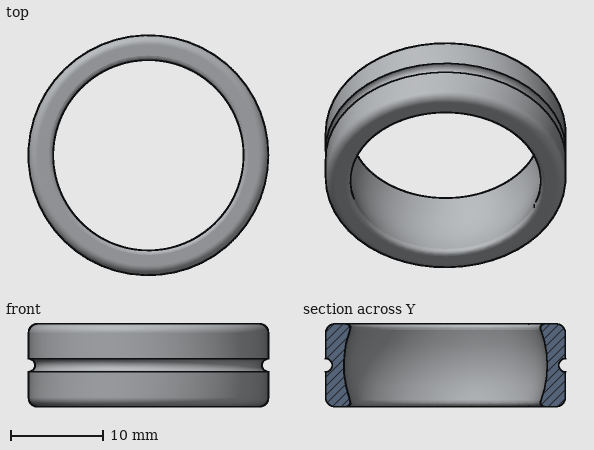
import cadquery as cq

outer_radius = 13.0
width = 9.0
bore_sphere_radius = 11.0
outer_edge_radius = 1.0
inner_edge_radius = 0.5
groove_radius = 0.7

half_width = width / 2


def make_band():
    """Plain disc centred on the origin, axis along Z, with rounded outer rims."""
    disc = cq.Workplane("XY").circle(outer_radius).extrude(half_width, both=True)
    return disc.edges("%CIRCLE").fillet(outer_edge_radius)


def cut_spherical_bore(band):
    """Hollow the bore as a sphere, widest at mid width, and round its two rims."""
    bored = band.cut(cq.Workplane("XY").sphere(bore_sphere_radius))
    bore_rims = cq.selectors.RadiusNthSelector(0)
    return bored.faces("<Z or >Z").edges(bore_rims).fillet(inner_edge_radius)


def cut_groove(band):
    """Cut the half-round groove around the middle of the outer wall."""
    groove = cq.Workplane(cq.Solid.makeTorus(outer_radius, groove_radius))
    return band.cut(groove)


result = cut_groove(cut_spherical_bore(make_band()))